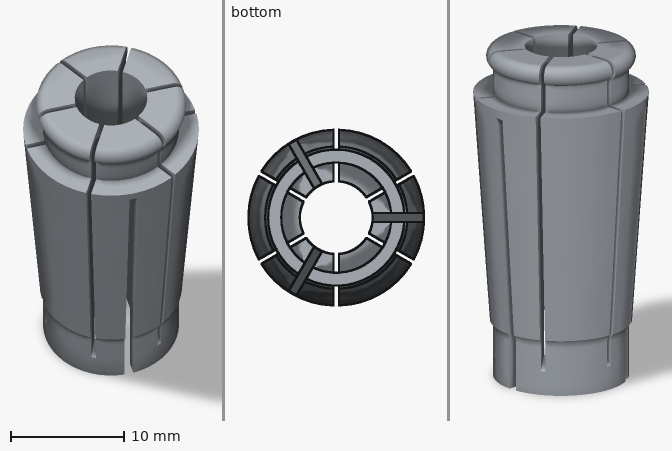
import cadquery as cq
import math

total_height = 30.5
nose_radius = 6.0
bore_radius = 3.2

taper_half_angle = 4.0
taper_slope = math.tan(math.radians(taper_half_angle))
body_top_radius = 7.75
body_top_z = 26.3
body_bottom_z = 5.15
body_bottom_radius = body_top_radius - (body_top_z - body_bottom_z) * taper_slope

nose_top_z = 4.5

ring_round_radius = 0.9
ring_center_radius = 5.7
ring_center_z = total_height - ring_round_radius

relief_radius = 4.85
relief_depth = 7.5

slot_end_angle = 45.0
cutter_radius = 9.0
upper_slot_width = 0.45
upper_slot_angles = range(30, 390, 60)
upper_slot_end_z = 2.2
lower_slot_width = 0.8
lower_slot_angles = range(0, 360, 120)
lower_slot_end_z = 25.5


def make_body():
    """Solid of revolution for the nose, the taper, the neck and the ring."""
    fillet_width = body_bottom_radius - nose_radius
    fillet_height = body_bottom_z - nose_top_z
    fillet_radius = (fillet_width**2 + fillet_height**2) / (2 * fillet_width)
    fillet_mid_angle = math.asin(fillet_height / fillet_radius) / 2
    fillet_mid = (
        nose_radius + fillet_radius * (1 - math.cos(fillet_mid_angle)),
        nose_top_z + fillet_radius * math.sin(fillet_mid_angle),
    )
    neck_offset = nose_radius - ring_center_radius
    neck_top_z = ring_center_z - math.sqrt(ring_round_radius**2 - neck_offset**2)
    return (
        cq.Workplane("XZ")
        .moveTo(0, 0)
        .lineTo(nose_radius, 0)
        .lineTo(nose_radius, nose_top_z)
        .threePointArc(fillet_mid, (body_bottom_radius, body_bottom_z))
        .lineTo(body_top_radius, body_top_z)
        .lineTo(nose_radius, body_top_z)
        .lineTo(nose_radius, neck_top_z)
        .threePointArc(
            (ring_center_radius + ring_round_radius, ring_center_z),
            (ring_center_radius, total_height),
        )
        .lineTo(0, total_height)
        .close()
        .revolve(360, (0, 0, 0), (0, 1, 0))
    )


def make_bore():
    """Through bore with the wider relief at the bottom."""
    bore = cq.Workplane("XY").circle(bore_radius).extrude(total_height)
    relief = cq.Workplane("XY").circle(relief_radius).extrude(relief_depth)
    return bore.union(relief)


def make_slot_cutter(width, end_radius, end_z, open_z, end_slope, angle):
    """Radial slab from the axis outward, open at open_z, with a sloped end through (end_radius, end_z)."""
    axis_z = end_z - end_radius * end_slope
    outer_z = end_z + (cutter_radius - end_radius) * end_slope
    return (
        cq.Workplane("XZ")
        .polyline([(0, axis_z), (cutter_radius, outer_z), (cutter_radius, open_z), (0, open_z)])
        .close()
        .extrude(width / 2, both=True)
        .rotate((0, 0, 0), (0, 0, 1), angle)
    )


def cut_slots(body):
    """Upper slots open at the top, lower slots open at the bottom."""
    slope = math.tan(math.radians(slot_end_angle))
    lower_end_radius = body_top_radius - (body_top_z - lower_slot_end_z) * taper_slope
    for angle in upper_slot_angles:
        body = body.cut(
            make_slot_cutter(upper_slot_width, nose_radius, upper_slot_end_z, total_height, -slope, angle)
        )
    for angle in lower_slot_angles:
        body = body.cut(
            make_slot_cutter(lower_slot_width, lower_end_radius, lower_slot_end_z, 0, slope, angle)
        )
    return body


result = cut_slots(make_body().cut(make_bore()))